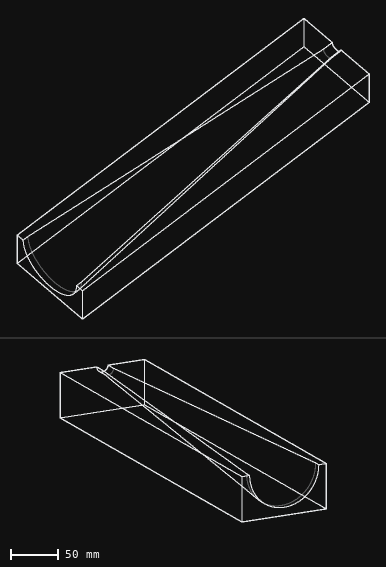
import cadquery as cq

length = 419.0
width = 101.5
height = width / 2

mouth_radius = 41.5
mouth_length = 7.0
outlet_radius = 6.5
outlet_length = 13.0

block = cq.Workplane("XY").box(width, length, height, centered=(True, False, False))
block = block.translate((0, 0, -height))

channel = (
    cq.Workplane("XY")
    .lineTo(mouth_radius, 0)
    .lineTo(mouth_radius, mouth_length)
    .lineTo(outlet_radius, length - outlet_length)
    .lineTo(outlet_radius, length)
    .lineTo(0, length)
    .close()
    .revolve(360, (0, 0, 0), (0, 1, 0))
)

result = block.cut(channel)